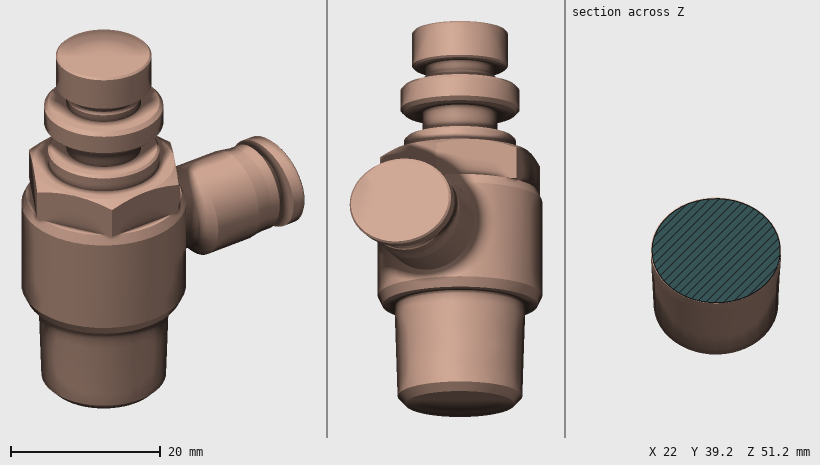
import cadquery as cq
import math


OVERALL_HEIGHT = 51.2
PORT_REACH = 28.2

HOUSING_RADIUS = 11.0
HOUSING_BOTTOM = 13.6
HOUSING_TOP = 29.15
HOUSING_CHAMFER_HEIGHT = 1.3
HOUSING_CHAMFER_WIDTH = 0.6
PORT_AXIS_HEIGHT = (HOUSING_BOTTOM + HOUSING_TOP) / 2

PORT_NECK_RADIUS = 4.5
PORT_RADIUS = 6.25
PORT_CONE_START = 12.65
PORT_CONE_END = PORT_CONE_START + PORT_RADIUS - PORT_NECK_RADIUS
PORT_TAPER_START = 21.15
PORT_END = 23.2

BARREL_RADIUS = 5.95
BARREL_END = 25.0
SLEEVE_NECK_RADIUS = 4.0
FLANGE_HALF_WIDTH = 7.05
FLANGE_HALF_HEIGHT = 5.85
FLANGE_START = 26.2
SLEEVE_CHAMFER = 0.25

THREAD_END_RADIUS = 8.35
THREAD_RADIUS = 8.7
THREAD_TAPER_TOP = 12.0
THREAD_TOP = 13.3
THREAD_CHAMFER_HEIGHT = 1.1
THREAD_CHAMFER_WIDTH = 1.0
SHANK_RADIUS = 8.6
HEX_SIDES = 6
HEX_ACROSS_FLATS = 19.0
HEX_TOP = 34.2
HEX_CHAMFER_ANGLE = 30.0
COLLAR_RADIUS = 7.5
COLLAR_TOP = 36.5
COLLAR_CHAMFER = 0.3

SHAFT_RADIUS = 5.0
SHAFT_TOP = 44.9
SHAFT_CHAMFER = 0.3
RING_RADIUS = 8.0
RING_BOTTOM = 40.0
RING_TOP = 43.55
RING_CHAMFER = 0.5
KNOB_NECK_RADIUS = 4.6
KNOB_RADIUS = 6.4
KNOB_BOTTOM = 46.25
KNOB_CHAMFER = 0.25


def disc(radius, bottom, top):
    """Upright cylinder on the stem axis between two heights."""
    return cq.Workplane("XY").workplane(offset=bottom).circle(radius).extrude(top - bottom)


def revolve_about_z(profile):
    """Turn (radius, height) points about the stem axis."""
    return cq.Workplane("XZ").polyline(profile).close().revolve(360, (0, 0), (0, 1))


def revolve_about_port(profile):
    """Turn (radius, distance along Y) points about the port axis."""
    turned = cq.Workplane("XY").polyline(profile).close().revolve(360, (0, 0), (0, 1))
    return turned.translate((0, 0, PORT_AXIS_HEIGHT))


def make_housing():
    edge_radius = HOUSING_RADIUS - HOUSING_CHAMFER_WIDTH
    barrel = revolve_about_z([
        (0, HOUSING_BOTTOM),
        (edge_radius, HOUSING_BOTTOM),
        (HOUSING_RADIUS, HOUSING_BOTTOM + HOUSING_CHAMFER_HEIGHT),
        (HOUSING_RADIUS, HOUSING_TOP - HOUSING_CHAMFER_HEIGHT),
        (edge_radius, HOUSING_TOP),
        (0, HOUSING_TOP),
    ])
    port = revolve_about_port([
        (0, 0),
        (PORT_NECK_RADIUS, 0),
        (PORT_NECK_RADIUS, PORT_CONE_START),
        (PORT_RADIUS, PORT_CONE_END),
        (PORT_RADIUS, PORT_TAPER_START),
        (BARREL_RADIUS, PORT_END),
        (0, PORT_END),
    ])
    bore = disc(SHANK_RADIUS, HOUSING_BOTTOM, HOUSING_TOP)
    return barrel.union(port).cut(bore)


def make_release_sleeve():
    barrel_and_neck = revolve_about_port([
        (0, PORT_END),
        (BARREL_RADIUS, PORT_END),
        (BARREL_RADIUS, BARREL_END - SLEEVE_CHAMFER),
        (BARREL_RADIUS - SLEEVE_CHAMFER, BARREL_END),
        (SLEEVE_NECK_RADIUS, BARREL_END),
        (SLEEVE_NECK_RADIUS, FLANGE_START - SLEEVE_CHAMFER),
        (SLEEVE_NECK_RADIUS + SLEEVE_CHAMFER, FLANGE_START),
        (0, FLANGE_START),
    ])
    flange = (
        cq.Workplane("XZ", origin=(0, FLANGE_START, PORT_AXIS_HEIGHT))
        .ellipse(FLANGE_HALF_WIDTH, FLANGE_HALF_HEIGHT)
        .extrude(FLANGE_START - PORT_REACH)
        .faces(">Y")
        .chamfer(SLEEVE_CHAMFER)
    )
    return barrel_and_neck.union(flange)


def make_hex_head():
    """Hexagon with corners on the Y axis and its upper corners turned to a cone."""
    flat_radius = HEX_ACROSS_FLATS / 2
    half_side_angle = 180 / HEX_SIDES
    corner_radius = flat_radius / math.cos(math.radians(half_side_angle))
    prism = (
        cq.Workplane("XY")
        .workplane(offset=HOUSING_TOP)
        .polygon(HEX_SIDES, 2 * corner_radius)
        .extrude(HEX_TOP - HOUSING_TOP)
        .rotate((0, 0, 0), (0, 0, 1), half_side_angle)
    )
    cone_radius = 2 * corner_radius - flat_radius
    cone_drop = (cone_radius - flat_radius) * math.tan(math.radians(HEX_CHAMFER_ANGLE))
    envelope = revolve_about_z([
        (0, HOUSING_TOP),
        (cone_radius, HOUSING_TOP),
        (cone_radius, HEX_TOP - cone_drop),
        (flat_radius, HEX_TOP),
        (0, HEX_TOP),
    ])
    return prism.intersect(envelope)


def make_stem():
    thread = revolve_about_z([
        (0, 0),
        (THREAD_END_RADIUS - THREAD_CHAMFER_WIDTH, 0),
        (THREAD_END_RADIUS, THREAD_CHAMFER_HEIGHT),
        (THREAD_RADIUS, THREAD_TAPER_TOP),
        (THREAD_RADIUS, THREAD_TOP),
        (0, THREAD_TOP),
    ])
    shank = disc(SHANK_RADIUS, THREAD_TOP, HOUSING_TOP)
    collar = disc(COLLAR_RADIUS, HEX_TOP, COLLAR_TOP).faces(">Z").chamfer(COLLAR_CHAMFER)
    return thread.union(shank).union(make_hex_head()).union(collar)


def make_adjuster():
    shaft = disc(SHAFT_RADIUS, COLLAR_TOP, SHAFT_TOP).faces(">Z").chamfer(SHAFT_CHAMFER)
    ring = disc(RING_RADIUS, RING_BOTTOM, RING_TOP).edges().chamfer(RING_CHAMFER)
    neck = disc(KNOB_NECK_RADIUS, SHAFT_TOP, KNOB_BOTTOM)
    knob = disc(KNOB_RADIUS, KNOB_BOTTOM, OVERALL_HEIGHT).edges().chamfer(KNOB_CHAMFER)
    return shaft.union(ring).union(neck).union(knob)


housing = make_housing()
release_sleeve = make_release_sleeve()
stem = make_stem()
adjuster = make_adjuster()

result = cq.Compound.makeCompound([
    housing.val(),
    release_sleeve.val(),
    stem.val(),
    adjuster.val(),
])